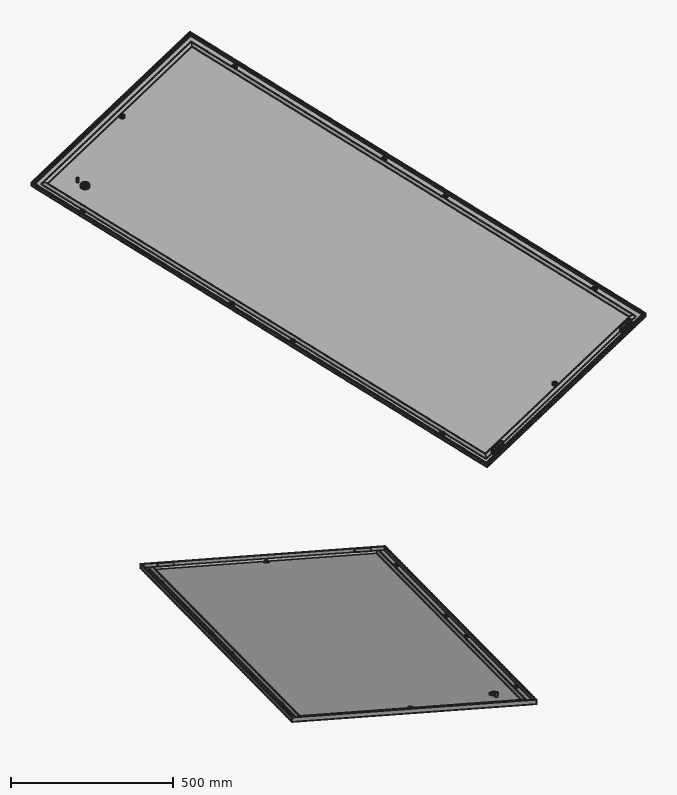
import cadquery as cq

length = 1800.0
width = 778.0
overall_height = 17.9

floor_thickness = 3.0
side_wall = 4.0
end_wall = 6.0
wall_height = 14.0

bead_inset = 22.0
bead_width = 14.0
bead_height = 6.5

stud_radius = 3.5
stud_height = 6.0
collar_radius = 8.0
collar_height = 2.5
long_side_stud_inset = 16.0
long_side_stud_offsets = (120.0, 710.0)
short_side_stud_inset = 46.0

hinge_length = 50.0
hinge_inset = 23.0
hinge_plate_height = 4.0
hinge_leaf_thickness = 7.0
hinge_centre_y = 314.0

lock_x = -768.5
lock_y = -288.5
lock_radius = 14.0
lock_height = 4.0
lock_hub_radius = 8.0
lock_hub_height = 7.0
lock_slot_length = 10.0
lock_slot_width = 3.0
pin_x = -797.5
pin_radius = 4.0


def make_disc(x, y, radius, height):
    """Upright cylinder standing on the tray floor."""
    return cq.Workplane("XY", origin=(x, y, floor_thickness)).circle(radius).extrude(height)


def make_floor_block(x_min, size_x, y_centre, size_y, height):
    """Rectangular block standing on the tray floor."""
    base = cq.Workplane("XY", origin=(x_min, y_centre, floor_thickness))
    return base.box(size_x, size_y, height, centered=(False, True, False))


def make_tray():
    outer = cq.Workplane("XY").box(length, width, wall_height, centered=(True, True, False))
    cavity = (
        cq.Workplane("XY", origin=(0, 0, floor_thickness))
        .rect(length - 2 * end_wall, width - 2 * side_wall)
        .extrude(wall_height)
    )
    return outer.cut(cavity)


def make_bead():
    outer_y = width / 2 - bead_inset
    centre_y = outer_y - bead_width / 2
    inner_y = outer_y - bead_width
    profile = (
        cq.Workplane("YZ")
        .moveTo(inner_y, floor_thickness)
        .threePointArc((centre_y, floor_thickness + bead_height), (outer_y, floor_thickness))
        .close()
    )
    path_margin = 2 * bead_inset + bead_width
    path_start = cq.Workplane("XY", origin=(0, 0, floor_thickness))
    path = path_start.rect(length - path_margin, width - path_margin)
    return profile.sweep(path, transition="right")


def make_stud(x, y):
    collar = make_disc(x, y, collar_radius, collar_height)
    return collar.union(make_disc(x, y, stud_radius, stud_height))


def make_hinge(y_centre):
    x_min = length / 2 - hinge_inset
    plate = make_floor_block(x_min, hinge_inset - end_wall, y_centre, hinge_length, hinge_plate_height)
    leaf_height = overall_height - floor_thickness
    leaf = make_floor_block(x_min, hinge_leaf_thickness, y_centre, hinge_length, leaf_height)
    return plate.union(leaf)


def make_lock():
    body = make_disc(lock_x, lock_y, lock_radius, lock_height)
    hub = make_disc(lock_x, lock_y, lock_hub_radius, lock_hub_height)
    slot = (
        cq.Workplane("XY", origin=(lock_x, lock_y, floor_thickness + lock_height))
        .rect(lock_slot_length, lock_slot_width)
        .extrude(lock_hub_height)
    )
    return body.union(hub.cut(slot))


def make_stop_pin():
    return make_disc(pin_x, lock_y, pin_radius, overall_height - floor_thickness)


result = make_tray().union(make_bead())

for side in (-1, 1):
    for offset in long_side_stud_offsets:
        for end in (-1, 1):
            result = result.union(make_stud(end * offset, side * (width / 2 - long_side_stud_inset)))
    result = result.union(make_stud(side * (length / 2 - short_side_stud_inset), 0))
    result = result.union(make_hinge(side * hinge_centre_y))

result = result.union(make_lock()).union(make_stop_pin())